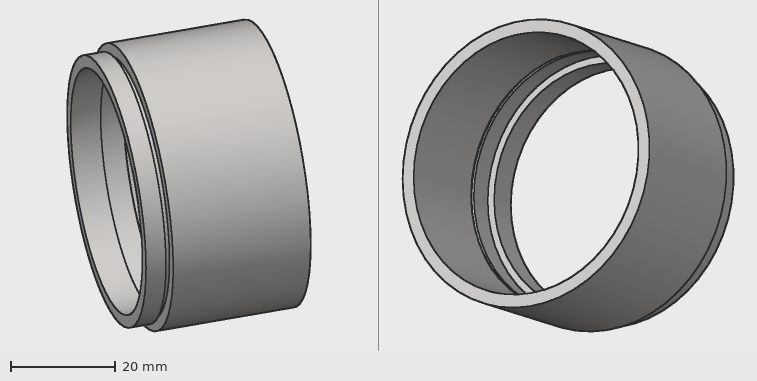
import cadquery as cq

body_radius = 28.0
total_length = 32.5

spigot_radius = 26.5
spigot_length = 4.0
relief_radius = 25.5
relief_width = 1.0

lip_radius = 24.0
lip_length = 6.0
bore_radius = 25.5
undercut_radius = 26.0
undercut_start = 11.0
undercut_width = 1.0


def cylinder(radius, start, end):
    """Solid cylinder along +Y, from Y = start to Y = end."""
    return cq.Workplane("XZ", origin=(0, start, 0)).circle(radius).extrude(start - end)


shoulder = spigot_length + relief_width
outside = (
    cylinder(spigot_radius, 0, spigot_length)
    .union(cylinder(relief_radius, spigot_length, shoulder))
    .union(cylinder(body_radius, shoulder, total_length))
)

inside = (
    cylinder(lip_radius, 0, lip_length)
    .union(cylinder(bore_radius, lip_length, total_length))
    .union(cylinder(undercut_radius, undercut_start, undercut_start + undercut_width))
)

result = outside.cut(inside)